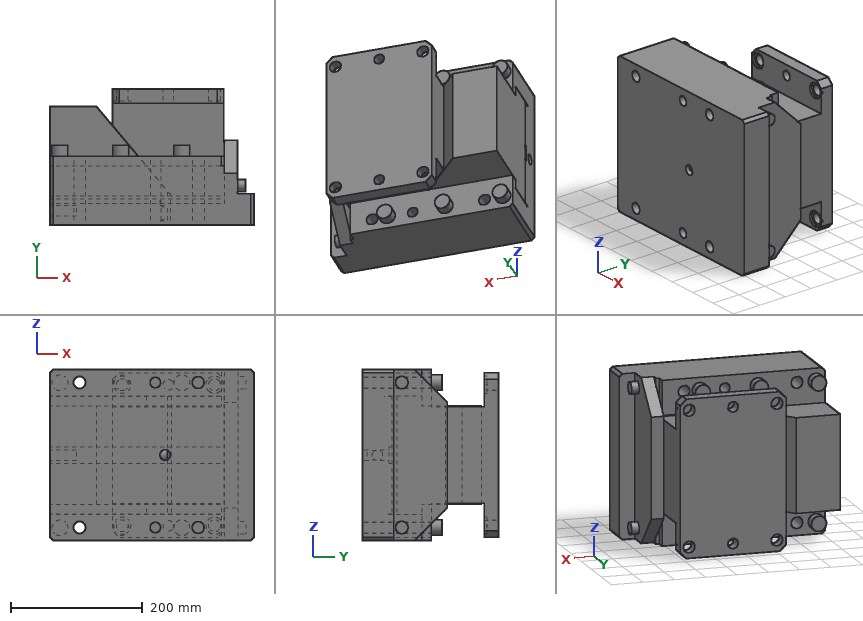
import cadquery as cq
import math


BASE_LENGTH = 310.0
HOUSING_WIDTH = 260.0
BASE_HEIGHT = 48.0
BODY_HEIGHT = 105.0
BASE_CORNER_CHAMFER = 5.0

END_PLATE_LEFT = 265.0
END_PLATE_THICKNESS = 20.0
END_PLATE_RIGHT = END_PLATE_LEFT + END_PLATE_THICKNESS
END_PLATE_TOP = 129.0
END_PLATE_CHAMFER = 50.0
LIP_LENGTH = 260.0

CHANNEL_FLOOR = 45.0
CHANNEL_SHOULDER = 90.0
FOOT_HALF_WIDTH = 90.0
STEM_HALF_WIDTH = 75.0
KEYWAY_WIDTH = 25.0
KEYWAY_DEPTH = 5.0
SLIT_WIDTH = 1.2
SLIT_DEPTH = 12.0

HOLE_ROW_Z = 110.0
BOLT_HOLE_DIAMETER = 18.0
BOLT_HOLE_X = (45.0, 225.0)
DOWEL_HOLE_DIAMETER = 16.0
DOWEL_HOLE_X = 160.0

SIDE_BORE_DIAMETER = 16.0
SIDE_BORE_Y = 22.5
SIDE_BORE_DEPTH = 40.0
INSPECTION_BORE_DIAMETER = 16.0
INSPECTION_BORE_X = 175.0

PIN_DIAMETER = 24.0
PIN_Y = 18.5

LIP_SCREW_DIAMETER = 24.0
LIP_SCREW_HEIGHT = 16.0
LIP_SCREW_FIRST_X = 15.0
LIP_SCREW_PITCH = 92.5
LIP_SCREW_COUNT = 3
END_SCREW_DIAMETER = 19.0
END_SCREW_HEIGHT = 12.0
END_SCREW_Y = 60.0

WEDGE_ANGLE = 50.0
WEDGE_TOP = 180.5
WEDGE_TOP_LENGTH = 70.5
WEDGE_TIP_X = 178.3

SLIDE_LEFT = 95.0
SLIDE_RIGHT = 264.0
SLIDE_TOP = 207.01
SLIDE_STEP_Y = 126.0
NECK_HALF_WIDTH = 73.5
FLANGE_THICKNESS = 22.0
FLANGE_BOTTOM = SLIDE_TOP - FLANGE_THICKNESS
FLANGE_HALF_WIDTH = 125.0
FLANGE_CHAMFER = 10.0
FLANGE_HOLE_Z = 107.0
FLANGE_HOLE_PITCH = 70.0
FLANGE_BOLT_DIAMETER = 18.0
FLANGE_COUNTERBORE_DIAMETER = 26.0
FLANGE_COUNTERBORE_DEPTH = 4.0
FLANGE_DOWEL_DIAMETER = 16.0

SIDES = (-1, 1)


def box(x_range, y_range, z_range):
    """Axis-aligned box between the given limits."""
    lows, highs = zip(x_range, y_range, z_range)
    sizes = [high - low for low, high in zip(lows, highs)]
    return cq.Workplane("XY").box(*sizes, centered=False).translate(lows)


def centred_box(x_range, y_range, half_width):
    """Box that is symmetric about Z = 0."""
    return box(x_range, y_range, (-half_width, half_width))


def cylinder_y(diameter, x, z, y_start, y_end):
    solid = cq.Solid.makeCylinder(
        diameter / 2, y_end - y_start, cq.Vector(x, y_start, z), cq.Vector(0, 1, 0)
    )
    return cq.Workplane(obj=solid)


def cylinder_x(diameter, y, z, x_start, x_end):
    solid = cq.Solid.makeCylinder(
        diameter / 2, x_end - x_start, cq.Vector(x_start, y, z), cq.Vector(1, 0, 0)
    )
    return cq.Workplane(obj=solid)


def prism(points, half_width):
    """XY outline extruded symmetrically along Z."""
    return cq.Workplane("XY").polyline(points).close().extrude(half_width, both=True)


def slope_x(y):
    """X position of the wedge slope at height y."""
    return WEDGE_TOP_LENGTH + (WEDGE_TOP - y) / math.tan(math.radians(WEDGE_ANGLE))


def slope_y(x):
    """Height of the wedge slope at position x."""
    return WEDGE_TOP - (x - WEDGE_TOP_LENGTH) * math.tan(math.radians(WEDGE_ANGLE))


def housing_blank():
    half_width = HOUSING_WIDTH / 2
    foot = centred_box((0, BASE_LENGTH), (0, BASE_HEIGHT), half_width)
    foot = foot.edges("|Y and >X").chamfer(BASE_CORNER_CHAMFER)
    body = centred_box((0, END_PLATE_LEFT), (0, CHANNEL_SHOULDER), half_width)
    lips = centred_box((0, LIP_LENGTH), (0, BODY_HEIGHT), half_width)
    end_plate = centred_box((END_PLATE_LEFT, END_PLATE_RIGHT), (0, END_PLATE_TOP), half_width)
    end_plate = end_plate.edges("|X and >Y").chamfer(END_PLATE_CHAMFER)
    blank = foot.union(body).union(lips).union(end_plate).clean()
    return blank.edges("|Y and <X").chamfer(BASE_CORNER_CHAMFER)


def cut_channel(body):
    span = (0, END_PLATE_LEFT)
    body = body.cut(centred_box(span, (CHANNEL_FLOOR, CHANNEL_SHOULDER), FOOT_HALF_WIDTH))
    body = body.cut(centred_box(span, (CHANNEL_FLOOR, BODY_HEIGHT), STEM_HALF_WIDTH))
    keyway_y = (CHANNEL_FLOOR - KEYWAY_DEPTH, CHANNEL_FLOOR)
    body = body.cut(centred_box(span, keyway_y, KEYWAY_WIDTH / 2))
    slit_y = (CHANNEL_FLOOR - SLIT_DEPTH, CHANNEL_FLOOR)
    for side in SIDES:
        slit_z = sorted((side * (FOOT_HALF_WIDTH - SLIT_WIDTH), side * FOOT_HALF_WIDTH))
        body = body.cut(box(span, slit_y, slit_z))
    return body


def cut_mounting_holes(body):
    for side in SIDES:
        z = side * HOLE_ROW_Z
        body = body.cut(cylinder_y(DOWEL_HOLE_DIAMETER, DOWEL_HOLE_X, z, 0, BODY_HEIGHT))
        for x in BOLT_HOLE_X:
            body = body.cut(cylinder_y(BOLT_HOLE_DIAMETER, x, z, 0, BODY_HEIGHT))
    return body


def cut_bores(body):
    side_bore = cylinder_x(SIDE_BORE_DIAMETER, SIDE_BORE_Y, 0, 0, SIDE_BORE_DEPTH)
    inspection_bore = cylinder_y(INSPECTION_BORE_DIAMETER, INSPECTION_BORE_X, 0, 0, CHANNEL_FLOOR)
    return body.cut(side_bore).cut(inspection_bore)


def add_pin(body):
    """The pin partly blocks the inspection bore."""
    return body.union(cylinder_x(PIN_DIAMETER, PIN_Y, 0, SIDE_BORE_DEPTH, WEDGE_TIP_X))


def add_screw_heads(body):
    lip_screw_end = BODY_HEIGHT + LIP_SCREW_HEIGHT
    end_screw_end = END_PLATE_RIGHT + END_SCREW_HEIGHT
    for side in SIDES:
        z = side * HOLE_ROW_Z
        for index in range(LIP_SCREW_COUNT):
            x = LIP_SCREW_FIRST_X + index * LIP_SCREW_PITCH
            body = body.union(cylinder_y(LIP_SCREW_DIAMETER, x, z, BODY_HEIGHT, lip_screw_end))
        end_screw = cylinder_x(END_SCREW_DIAMETER, END_SCREW_Y, z, END_PLATE_RIGHT, end_screw_end)
        body = body.union(end_screw)
    return body


def make_housing():
    body = cut_channel(housing_blank())
    body = cut_mounting_holes(body)
    body = cut_bores(body)
    body = add_pin(body)
    return add_screw_heads(body)


def make_wedge():
    """T-shaped wedge that fills the left part of the channel."""

    def section(y_top, half_width):
        points = [
            (0, CHANNEL_FLOOR),
            (WEDGE_TIP_X, CHANNEL_FLOOR),
            (WEDGE_TIP_X, slope_y(WEDGE_TIP_X)),
            (slope_x(y_top), y_top),
            (0, y_top),
        ]
        return prism(points, half_width)

    foot = section(CHANNEL_SHOULDER, FOOT_HALF_WIDTH)
    stem = section(WEDGE_TOP, STEM_HALF_WIDTH)
    return foot.union(stem)


def slide_section(y_bottom, y_top, half_width):
    """Part of the slide between the wedge slope and the end plate."""
    points = [
        (slope_x(y_bottom), y_bottom),
        (END_PLATE_LEFT, y_bottom),
        (END_PLATE_LEFT, y_top),
        (slope_x(y_top), y_top),
    ]
    return prism(points, half_width)


def make_slide_neck():
    points = [
        (slope_x(BODY_HEIGHT), BODY_HEIGHT),
        (END_PLATE_LEFT, BODY_HEIGHT),
        (END_PLATE_LEFT, SLIDE_STEP_Y),
        (SLIDE_RIGHT, SLIDE_STEP_Y),
        (SLIDE_RIGHT, FLANGE_BOTTOM),
        (SLIDE_LEFT, FLANGE_BOTTOM),
        (SLIDE_LEFT, slope_y(SLIDE_LEFT)),
    ]
    return prism(points, NECK_HALF_WIDTH)


def make_flange():
    flange = centred_box((SLIDE_LEFT, SLIDE_RIGHT), (FLANGE_BOTTOM, SLIDE_TOP), FLANGE_HALF_WIDTH)
    flange = flange.edges("|Y").chamfer(FLANGE_CHAMFER)
    centre_x = (SLIDE_LEFT + SLIDE_RIGHT) / 2
    counterbore_end = FLANGE_BOTTOM + FLANGE_COUNTERBORE_DEPTH
    for side in SIDES:
        z = side * FLANGE_HOLE_Z
        flange = flange.cut(cylinder_y(FLANGE_DOWEL_DIAMETER, centre_x, z, FLANGE_BOTTOM, SLIDE_TOP))
        for x in (centre_x - FLANGE_HOLE_PITCH, centre_x + FLANGE_HOLE_PITCH):
            flange = flange.cut(cylinder_y(FLANGE_BOLT_DIAMETER, x, z, FLANGE_BOTTOM, SLIDE_TOP))
            flange = flange.cut(
                cylinder_y(FLANGE_COUNTERBORE_DIAMETER, x, z, FLANGE_BOTTOM, counterbore_end)
            )
    return flange


def make_slide():
    """Slide that rides on the wedge slope and carries the flange."""
    foot = slide_section(CHANNEL_FLOOR, CHANNEL_SHOULDER, FOOT_HALF_WIDTH)
    stem = slide_section(CHANNEL_SHOULDER, BODY_HEIGHT, STEM_HALF_WIDTH)
    return foot.union(stem).union(make_slide_neck()).union(make_flange())


housing = make_housing()
wedge = make_wedge()
slide = make_slide()

result = cq.Compound.makeCompound([housing.solids().val(), wedge.solids().val(), slide.solids().val()])